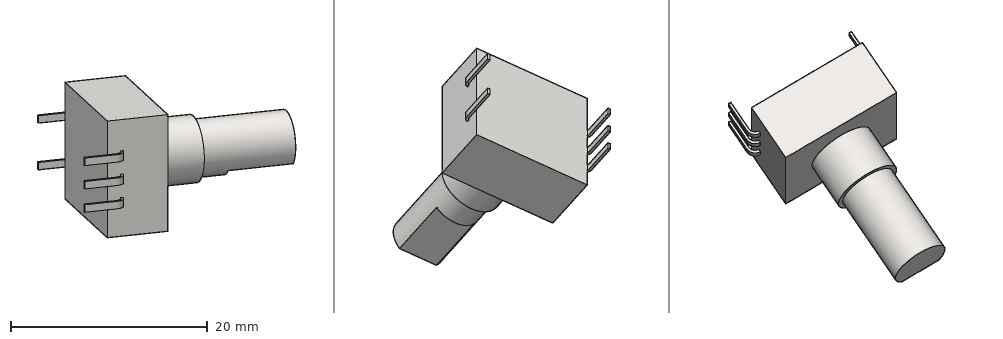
import cadquery as cq

body_width = 13.34
body_depth = 6.5
body_height = 12.5

bushing_diameter = 7.0
bushing_length = 5.0
shaft_diameter = 6.0
shaft_length = 10.0
flat_depth = 1.0
round_length = 3.0

lead_thickness = 0.3
lead_width = 0.8
lead_pitch = 2.5
lead_top = 1.7
lead_drop = 2.76
left_reach = 0.44
right_reach = 1.02

bushing_start = body_depth
shaft_start = bushing_start + bushing_length


def cylinder_along_y(diameter, start, length):
    """Round bar on the Y axis."""
    return cq.Workplane("XZ", origin=(0, start, 0)).circle(diameter / 2).extrude(-length)


def make_shaft():
    """Round shaft with a flat on its underside running to the tip."""
    shaft = cylinder_along_y(shaft_diameter, shaft_start, shaft_length)
    flat_length = shaft_length - round_length
    flat = (
        cq.Workplane("XY")
        .box(shaft_diameter, flat_length, flat_depth, centered=(True, False, False))
        .translate((0, shaft_start + round_length, -shaft_diameter / 2))
    )
    return shaft.cut(flat)


def make_lead(side, reach, z_centre):
    """Strip leaving a side wall, bent in a quarter circle whose outer radius is its reach."""
    wall = side * body_width / 2
    outer = wall + side * reach
    inner = outer - side * lead_thickness
    inner_radius = reach - lead_thickness
    bend_y = lead_top - reach
    return (
        cq.Workplane("XY", origin=(0, 0, z_centre - lead_width / 2))
        .moveTo(wall, lead_top)
        .radiusArc((outer, bend_y), side * reach)
        .lineTo(outer, -lead_drop)
        .lineTo(inner, -lead_drop)
        .lineTo(inner, bend_y)
        .radiusArc((wall, bend_y + inner_radius), -side * inner_radius)
        .close()
        .extrude(lead_width)
    )


result = cq.Workplane("XY").box(body_width, body_depth, body_height, centered=(True, False, True))
result = result.union(cylinder_along_y(bushing_diameter, bushing_start, bushing_length))
result = result.union(make_shaft())

for row in (-1, 1):
    result = result.union(make_lead(-1, left_reach, row * lead_pitch))
for row in (-1, 0, 1):
    result = result.union(make_lead(1, right_reach, row * lead_pitch))